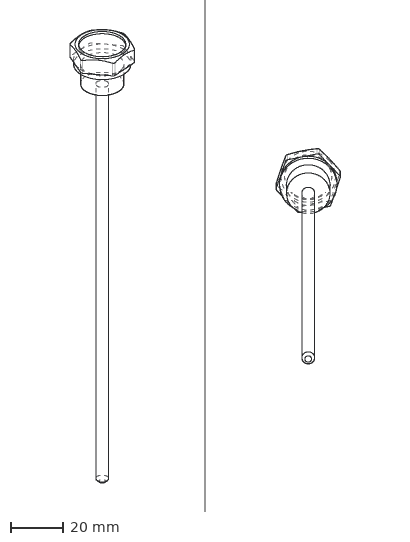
import cadquery as cq
import math

total_length = 198.0

across_flats = 22.0
hex_height = 7.0
corner_radius = 1.0
crown_diameter = 20.8
crown_angle = 30.0
recess_diameter = 18.0
recess_depth = 1.0

flange_diameter = across_flats
flange_bottom_depth = 9.1
collar_diameter = 16.6
collar_bottom_depth = 18.0

rod_diameter = 5.0
tip_chamfer = 1.2

top = total_length / 2
hex_bottom = top - hex_height
flange_bottom = top - flange_bottom_depth
collar_bottom = top - collar_bottom_depth
rod_bottom = -total_length / 2


def cylinder(diameter, top_z, bottom_z):
    """Cylinder on the Z axis between two heights."""
    return cq.Workplane("XY", origin=(0, 0, bottom_z)).circle(diameter / 2).extrude(top_z - bottom_z)


def hex_prism():
    """Hexagon with flats facing +X and -X and rounded upright corners."""
    across_corners = across_flats / math.cos(math.radians(30))
    return (
        cq.Workplane("XY", origin=(0, 0, hex_bottom))
        .polygon(6, across_corners)
        .extrude(hex_height)
        .rotate((0, 0, 0), (0, 0, 1), 30)
        .edges("|Z")
        .fillet(corner_radius)
    )


def crown_envelope():
    """Round blank, wider than the hexagon, whose upper edge slopes at the crown angle."""
    outer_radius = across_flats
    crown_radius = crown_diameter / 2
    crown_drop = (outer_radius - crown_radius) * math.tan(math.radians(crown_angle))
    profile = [
        (0, top),
        (crown_radius, top),
        (outer_radius, top - crown_drop),
        (outer_radius, hex_bottom),
        (0, hex_bottom),
    ]
    return cq.Workplane("XZ").polyline(profile).close().revolve(360, (0, 0, 0), (0, 1, 0))


def make_head():
    recess = cylinder(recess_diameter, top, top - recess_depth)
    return hex_prism().intersect(crown_envelope()).cut(recess)


flange = cylinder(flange_diameter, hex_bottom, flange_bottom)
collar = cylinder(collar_diameter, flange_bottom, collar_bottom)
rod = cylinder(rod_diameter, collar_bottom, rod_bottom).faces("<Z").chamfer(tip_chamfer)

result = make_head().union(flange).union(collar).union(rod)